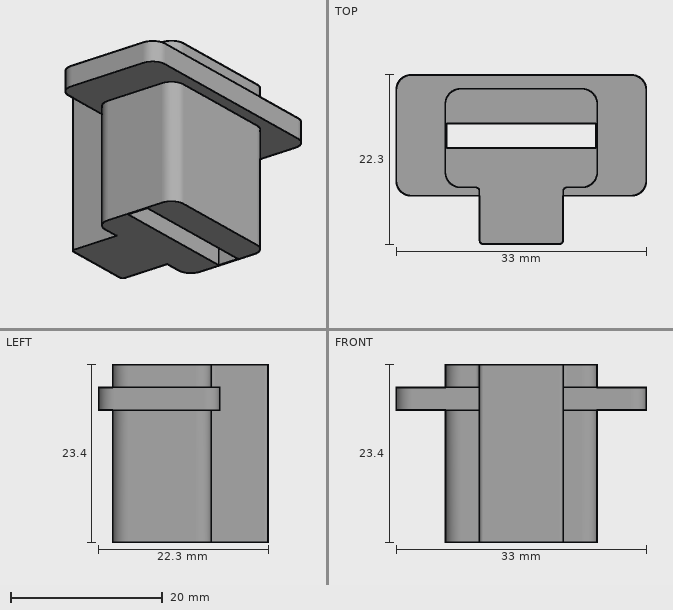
import cadquery as cq

height = 23.4
depth = 22.3

flange_width = 32.95
flange_depth = 15.95
flange_thickness = 3.0
flange_drop = 3.0

body_width = 20.0
body_depth = 12.98
body_setback = 1.85
large_radius = 2.0

stem_width = 11.0
small_radius = 0.5

slot_width = 19.6
slot_depth = 3.2
slot_setback = 6.43

body_back = depth - body_setback
body_front = body_back - body_depth
flange_top = height - flange_drop
flange_bottom = flange_top - flange_thickness


def block(width, back, length, bottom, tall):
    """Box centred on X, running forward from its back face and up from its bottom."""
    return (
        cq.Workplane("XY")
        .box(width, length, tall, centered=(True, False, False))
        .translate((0, back - length, bottom))
    )


def rounded_block(width, back, length, bottom, tall):
    return block(width, back, length, bottom, tall).edges("|Z").fillet(large_radius)


def stem():
    back = body_front + large_radius
    return block(stem_width, back, back, 0, height).edges("|Z and <Y").fillet(small_radius)


def corner_blend(side):
    """Concave fillet between stem and body, only above the flange."""
    corner_x = side * stem_width / 2
    outer_x = corner_x + side * small_radius
    lower_y = body_front - small_radius
    arc_inset = small_radius * (1 - 0.5 ** 0.5)
    return (
        cq.Workplane("XY", origin=(0, 0, flange_top))
        .moveTo(corner_x, body_front)
        .lineTo(outer_x, body_front)
        .threePointArc((corner_x + side * arc_inset, body_front - arc_inset), (corner_x, lower_y))
        .close()
        .extrude(flange_drop)
    )


body = rounded_block(body_width, body_back, body_depth, 0, height)
flange = rounded_block(flange_width, depth, flange_depth, flange_bottom, flange_thickness)
slot = block(slot_width, depth - slot_setback, slot_depth, 0, height)

result = body.union(flange).union(stem())
for side in (-1, 1):
    result = result.union(corner_blend(side))
result = result.cut(slot)